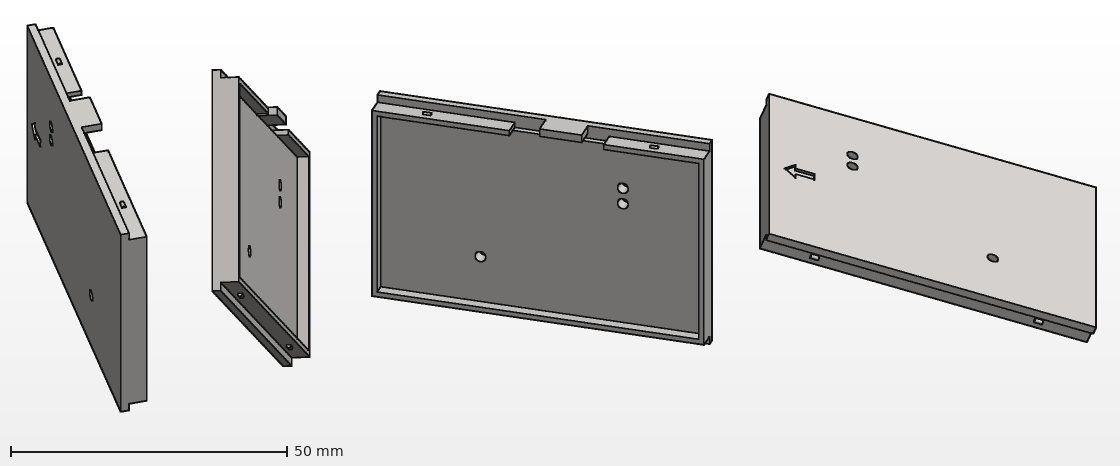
import cadquery as cq

length = 63.0
height = 41.0
plate_thickness = 1.6

rim_back = 4.9
rim_inset = 1.5
rim_bottom = rim_inset
rim_top = height - rim_inset
wall = 1.0
floor_back = 2.8

opening_left = 19.0
opening_right = 36.9
tab_left = 23.05
tab_right = 31.05
tab_back = 5.35
tab_thickness = rim_inset

hole_diameter = 2.0
hole_places = [(16.05, 29.9), (16.05, 26.8), (43.1, 11.65)]

arrow_tip = 3.0
arrow_neck = 5.15
arrow_tail = 8.8
arrow_head_half = 1.95
arrow_shaft_half = 0.8
arrow_depth = 0.5

ridge_length = 1.5
ridge_diameter = 0.8
ridge_y = 3.2
ridge_from_end = 9.95
top_ridge_height = 0.3
bottom_ridge_height = 0.6


def block(x, y, z):
    """Box given by its (low, high) limits along each axis."""
    size = [high - low for low, high in (x, y, z)]
    return cq.Workplane("XY").box(*size, centered=False).translate((x[0], y[0], z[0]))


def hollow_body():
    plate = block((0, length), (0, plate_thickness), (0, height))
    rim = block((0, length), (0, rim_back), (rim_bottom, rim_top))
    cavity = block(
        (wall, length - wall),
        (floor_back, rim_back),
        (rim_bottom + wall, rim_top - wall),
    )
    return plate.union(rim).cut(cavity)


def top_opening():
    return block(
        (opening_left, opening_right),
        (plate_thickness, rim_back),
        (rim_top - wall, rim_top),
    )


def latch_tab():
    return block((tab_left, tab_right), (0, tab_back), (height - tab_thickness, height))


def snap_ridge(x_center, crest_z, outward):
    """Round bar along X reaching crest_z; outward is +1 for up, -1 for down."""
    axis_z = crest_z - outward * ridge_diameter / 2
    profile = cq.Workplane("YZ").center(ridge_y, axis_z).circle(ridge_diameter / 2)
    bar = profile.extrude(ridge_length)
    return bar.translate((x_center - ridge_length / 2, 0, 0))


def through_holes():
    circles = cq.Workplane("XZ").pushPoints(hole_places).circle(hole_diameter / 2)
    return circles.extrude(-rim_back)


def arrow():
    middle = height / 2
    outline = [
        (arrow_tip, middle),
        (arrow_neck, middle + arrow_head_half),
        (arrow_neck, middle + arrow_shaft_half),
        (arrow_tail, middle + arrow_shaft_half),
        (arrow_tail, middle - arrow_shaft_half),
        (arrow_neck, middle - arrow_shaft_half),
        (arrow_neck, middle - arrow_head_half),
    ]
    return cq.Workplane("XZ").polyline(outline).close().extrude(-arrow_depth)


result = hollow_body().cut(top_opening()).union(latch_tab())
for ridge_x in (ridge_from_end, length - ridge_from_end):
    result = result.union(snap_ridge(ridge_x, rim_top + top_ridge_height, 1))
    result = result.union(snap_ridge(ridge_x, rim_bottom - bottom_ridge_height, -1))
result = result.cut(through_holes()).cut(arrow())